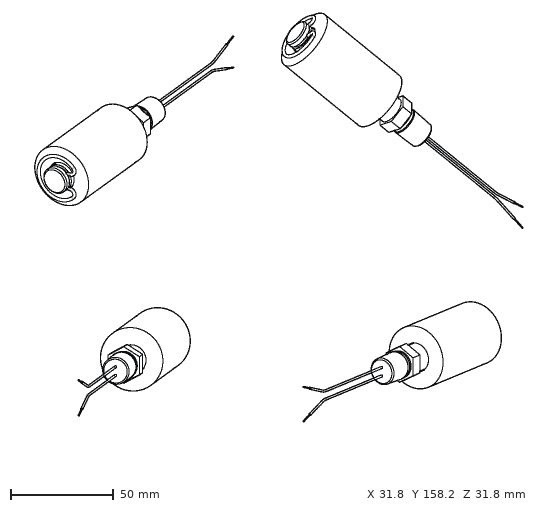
import cadquery as cq
import math


stem_radius = 13.7 / 2
stem_length = 88.7
end_chamfer = 0.75
clip_groove_radius = 5.7
hex_start = 66.8
hex_end = 73.0
hex_across_flats = 15.875
collar_end = 74.0
relief_end = 75.5
relief_radius = 6.75
thread_large_radius = 7.12
thread_start = relief_end + 0.4
thread_taper = 1 / 32
thread_small_radius = thread_large_radius - thread_taper * (stem_length - thread_start)

float_radius = 31.75 / 2
float_start = 6.3
float_length = 51.9
float_bore_radius = 7.3

clip_y = 3.75
clip_wire_radius = 0.8
clip_ring_radius = 11.85
curl_radius = 2.43
curl_center_z = 6.53

wire_offset = 2.15
insulation_radius = 0.55
conductor_radius = 0.3
bend_start = 138.4
bend_angle = math.radians(20)
bend_radius = 8.8
insulation_end = 152.5
wire_tip = 158.22


def make_stem():
    groove_start = clip_y - clip_wire_radius
    groove_end = clip_y + clip_wire_radius
    profile = [
        (0, 0),
        (stem_radius - end_chamfer, 0),
        (stem_radius, end_chamfer),
        (stem_radius, groove_start),
        (clip_groove_radius, groove_start),
        (clip_groove_radius, groove_end),
        (stem_radius, groove_end),
        (stem_radius, collar_end),
        (relief_radius, collar_end),
        (relief_radius, relief_end),
        (thread_large_radius, thread_start),
        (thread_small_radius, stem_length - end_chamfer),
        (thread_small_radius - end_chamfer, stem_length),
        (0, stem_length),
    ]
    rod = cq.Workplane("XY").polyline(profile).close().revolve(360, (0, 0, 0), (0, 1, 0))
    across_corners = hex_across_flats / math.cos(math.radians(30))
    hex_flange = (
        cq.Workplane("XZ", origin=(0, hex_start, 0))
        .transformed(rotate=(0, 0, 90))
        .polygon(6, across_corners)
        .extrude(hex_start - hex_end)
    )
    return rod.union(hex_flange)


def make_float():
    return (
        cq.Workplane("XZ", origin=(0, float_start, 0))
        .circle(float_radius)
        .circle(float_bore_radius)
        .extrude(-float_length)
    )


def make_clip():
    curl_center_distance = clip_ring_radius - curl_radius
    curl_center_x = math.sqrt(curl_center_distance**2 - curl_center_z**2)
    join_scale = clip_ring_radius / curl_center_distance
    join_x = curl_center_x * join_scale
    join_z = curl_center_z * join_scale
    curl_mid_x = curl_center_x + curl_radius
    tip_z = curl_center_z - curl_radius
    tip_x = math.sqrt(clip_groove_radius**2 - (tip_z - clip_wire_radius) ** 2)
    path = (
        cq.Workplane("XZ", origin=(0, clip_y, 0))
        .moveTo(tip_x, tip_z)
        .lineTo(curl_center_x, tip_z)
        .threePointArc((curl_mid_x, curl_center_z), (join_x, join_z))
        .threePointArc((-clip_ring_radius, 0), (join_x, -join_z))
        .threePointArc((curl_mid_x, -curl_center_z), (curl_center_x, -tip_z))
        .lineTo(tip_x, -tip_z)
    )
    return (
        cq.Workplane("YZ", origin=(tip_x, clip_y, tip_z))
        .circle(clip_wire_radius)
        .sweep(path)
    )


def make_wire(side):
    """One lead; side is +1 for the upper wire and -1 for the lower wire."""

    def bend_point(angle):
        y = bend_start + bend_radius * math.sin(angle)
        z = wire_offset + bend_radius * (1 - math.cos(angle))
        return y, side * z

    bend_end_y, bend_end_z = bend_point(bend_angle)
    slope = side * math.tan(bend_angle)
    tip_axis_y = wire_tip - conductor_radius * math.sin(bend_angle)
    cut_y = insulation_end
    cut_z = bend_end_z + slope * (cut_y - bend_end_y)

    path = (
        cq.Workplane("YZ")
        .moveTo(stem_length, side * wire_offset)
        .lineTo(bend_start, side * wire_offset)
        .threePointArc(bend_point(bend_angle / 2), (bend_end_y, bend_end_z))
        .lineTo(cut_y, cut_z)
    )
    insulation = (
        cq.Workplane("XZ", origin=(0, stem_length, side * wire_offset))
        .circle(insulation_radius)
        .sweep(path)
    )
    direction = cq.Vector(0, math.cos(bend_angle), side * math.sin(bend_angle))
    conductor_length = (tip_axis_y - cut_y) / math.cos(bend_angle)
    conductor_plane = cq.Plane(origin=(0, cut_y, cut_z), xDir=(1, 0, 0), normal=direction)
    conductor = cq.Workplane(conductor_plane).circle(conductor_radius).extrude(conductor_length)
    return insulation.union(conductor)


stem = make_stem()
float_body = make_float()
clip = make_clip()
wires = [make_wire(side) for side in (1, -1)]

result = cq.Compound.makeCompound(
    [stem.val(), float_body.val(), clip.val()] + [wire.val() for wire in wires]
)